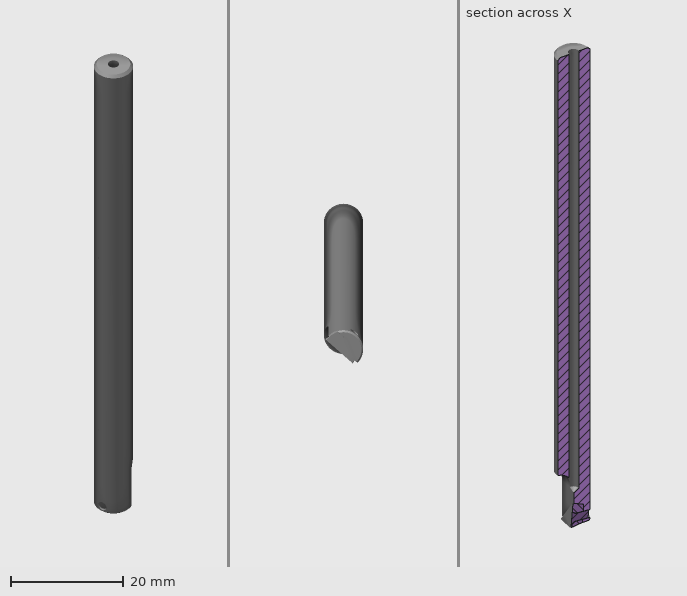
import cadquery as cq
import math

BAR_RADIUS = 3.5
BAR_TOP_Z = 50.0
BAR_BOTTOM_Z = -49.6
TOP_CHAMFER = 0.5
BOTTOM_CHAMFER = 0.3

FLAT_Y = 0.1
FLAT_START_Z = -37.8
RUNOUT_RADIUS = 4.0

BORE_RADIUS = 1.0
BORE_END_Z = -42.0
DRILL_POINT_ANGLE = 118.0

CUTTING_TIP_X = -3.7
CUTTING_TIP_Z = -50.0
RAKE_CENTRE_Y = 0.55
INSERT_CORNERS = 3
INSERT_CIRCUMRADIUS = 4.0
INSERT_NOSE_RADIUS = 0.2
INSERT_THICKNESS = 2.4
INSERT_RELIEF = 11.0
INSERT_TILT = 5.0
LEAD_ANGLE = 3.0

CORNER_RELIEF = 1.5

SCREW_RADIUS = 0.85
SCREW_HEAD_RADIUS = 1.3
SCREW_HEAD_DEPTH = 0.8
SCREW_LENGTH = 3.7

TILT = math.radians(INSERT_TILT)
INCLUDED_ANGLE = 180.0 / INSERT_CORNERS
CORNER_ANGLE = 180.0 + LEAD_ANGLE + INCLUDED_ANGLE / 2
FLANK_ANGLE = LEAD_ANGLE + INCLUDED_ANGLE

INSERT_CORE_RADIUS = INSERT_CIRCUMRADIUS - 2 * INSERT_NOSE_RADIUS
TIP_SIDE_REACH = INSERT_NOSE_RADIUS - INSERT_CORE_RADIUS * math.cos(math.radians(CORNER_ANGLE))
TIP_DOWN_REACH = INSERT_NOSE_RADIUS - INSERT_CORE_RADIUS * math.sin(math.radians(CORNER_ANGLE))
INSERT_CENTRE = (
    CUTTING_TIP_X + TIP_SIDE_REACH,
    RAKE_CENTRE_Y,
    CUTTING_TIP_Z + TIP_DOWN_REACH * math.cos(TILT),
)

insert_plane = cq.Plane(
    origin=INSERT_CENTRE,
    xDir=(1, 0, 0),
    normal=(0, -math.cos(TILT), -math.sin(TILT)),
)


def corner_point(radius, number):
    """Corner of the insert triangle, counted from the cutting corner."""
    angle = math.radians(CORNER_ANGLE + number * 360.0 / INSERT_CORNERS)
    return (radius * math.cos(angle), radius * math.sin(angle))


def insert_block():
    """Triangular block with rounded corners and relieved flanks."""
    return (
        cq.Workplane(insert_plane)
        .polyline([corner_point(INSERT_CORE_RADIUS, n) for n in range(INSERT_CORNERS)])
        .close()
        .offset2D(INSERT_NOSE_RADIUS)
        .extrude(INSERT_THICKNESS, taper=INSERT_RELIEF)
    )


def screw_body():
    """Countersunk screw, its head flush with the rake face."""
    head = (
        cq.Workplane(insert_plane)
        .circle(SCREW_HEAD_RADIUS)
        .workplane(offset=SCREW_HEAD_DEPTH)
        .circle(SCREW_RADIUS)
        .loft()
    )
    shank = cq.Workplane(insert_plane).circle(SCREW_RADIUS).extrude(SCREW_LENGTH)
    return head.union(shank)


def bar_blank():
    """Round bar, chamfered at both ends."""
    return (
        cq.Workplane("YZ")
        .moveTo(0, BAR_BOTTOM_Z)
        .lineTo(-(BAR_RADIUS - BOTTOM_CHAMFER), BAR_BOTTOM_Z)
        .lineTo(-BAR_RADIUS, BAR_BOTTOM_Z + BOTTOM_CHAMFER)
        .lineTo(-BAR_RADIUS, BAR_TOP_Z - TOP_CHAMFER)
        .lineTo(-(BAR_RADIUS - TOP_CHAMFER), BAR_TOP_Z)
        .lineTo(0, BAR_TOP_Z)
        .close()
        .revolve(360, (0, 0, 0), (0, 1, 0))
    )


def flat_cutter():
    """Removes the +Y half of the cutting end, with a rounded run-out."""
    clear = 2 * BAR_RADIUS
    return (
        cq.Workplane("YZ")
        .moveTo(FLAT_Y, BAR_BOTTOM_Z - clear)
        .lineTo(FLAT_Y, FLAT_START_Z - RUNOUT_RADIUS)
        .radiusArc((FLAT_Y + RUNOUT_RADIUS, FLAT_START_Z), RUNOUT_RADIUS)
        .lineTo(clear, FLAT_START_Z)
        .lineTo(clear, BAR_BOTTOM_Z - clear)
        .close()
        .extrude(clear, both=True)
    )


def bore_cutter():
    """Blind coolant bore with a drill point."""
    point_depth = BORE_RADIUS / math.tan(math.radians(DRILL_POINT_ANGLE / 2))
    return (
        cq.Workplane("YZ")
        .moveTo(0, BAR_TOP_Z)
        .lineTo(-BORE_RADIUS, BAR_TOP_Z)
        .lineTo(-BORE_RADIUS, BORE_END_Z)
        .lineTo(0, BORE_END_Z - point_depth)
        .close()
        .revolve(360, (0, 0, 0), (0, 1, 0))
    )


def corner_relief_cutter():
    """Frees the bar around the cutting corner, square to the upper flank."""
    corner_x, corner_y = corner_point(INSERT_CIRCUMRADIUS, 0)
    return (
        cq.Workplane(insert_plane)
        .transformed(offset=(corner_x, corner_y, 0), rotate=(0, 0, FLANK_ANGLE))
        .rect(2 * CORNER_RELIEF, 2 * BAR_RADIUS)
        .extrude(INSERT_THICKNESS)
    )


def screw_hole_cutter():
    """Screw hole, which runs out through the -Y side of the bar."""
    return cq.Workplane(insert_plane).circle(SCREW_RADIUS).extrude(2 * BAR_RADIUS)


screw = screw_body()

insert = insert_block().cut(screw)

bar = (
    bar_blank()
    .cut(flat_cutter())
    .cut(bore_cutter())
    .cut(insert_block())
    .cut(corner_relief_cutter())
    .cut(screw_hole_cutter())
)

result = cq.Compound.makeCompound([bar.val(), insert.val(), screw.val()])